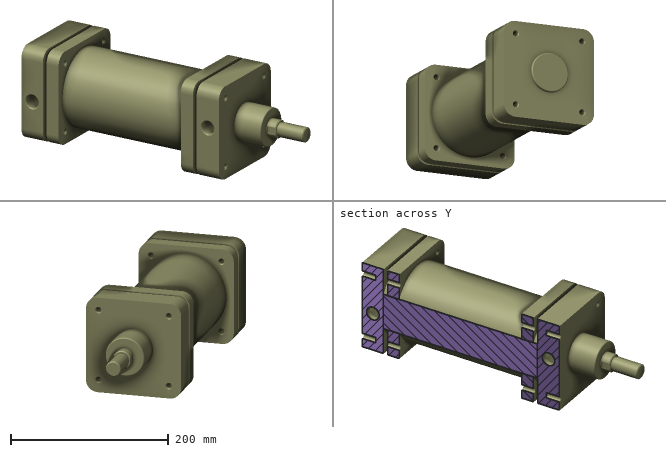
import cadquery as cq


PLATE_SIDE = 126.0
CORNER_RADIUS = 15.2
REAR_CAP_LENGTH = 32.0
FRONT_CAP_LENGTH = 33.2
FLANGE_LENGTH = 18.0
FLANGE_GAP = 5.5

TUBE_DIAMETER = 106.7
TUBE_LENGTH = 229.0
NOSE_DIAMETER = 51.2
NOSE_ROUNDING = 1.5
PLUG_LENGTH = 4.0
NOSE_LENGTH = 39.5

SCREW_SPACING = 93.0
SCREW_DIAMETER = 7.0
SCREW_CHAMFER = 0.8
SCREW_DEPTH = 19.5

PORT_DIAMETER = 18.0
PORT_CHAMFER = 1.0
PORT_DEPTH = 23.5
PORT_OFFSET = 8.2

OVERALL_LENGTH = 391.0
ROD_DIAMETER = 24.2
ROD_CHAMFER = 1.0
FLATS_WIDTH = 22.0
FLATS_LENGTH = 13.0
RELIEF_DIAMETER = 18.5
RELIEF_LENGTH = 3.0
THREAD_DIAMETER = 20.0
THREAD_LENGTH = 36.5
THREAD_CHAMFER = 1.0

REAR_CAP_START = PLUG_LENGTH
TUBE_START = REAR_CAP_START + REAR_CAP_LENGTH
TUBE_END = TUBE_START + TUBE_LENGTH
FRONT_CAP_END = TUBE_END + FRONT_CAP_LENGTH
REAR_FLANGE_START = TUBE_START + FLANGE_GAP
FRONT_FLANGE_START = TUBE_END - FLANGE_GAP - FLANGE_LENGTH
THREAD_START = OVERALL_LENGTH - THREAD_LENGTH
ROD_SHOULDER = THREAD_START - RELIEF_LENGTH
FLATS_START = ROD_SHOULDER - FLATS_LENGTH


def cylinder(start, length, diameter):
    """Round bar along the X axis."""
    return cq.Workplane("YZ", origin=(start, 0, 0)).circle(diameter / 2).extrude(length)


def plate(start, length):
    """Square plate with rounded corners, centred on the X axis."""
    blank = cq.Workplane("YZ", origin=(start, 0, 0)).rect(PLATE_SIDE, PLATE_SIDE).extrude(length)
    return blank.edges("|X").fillet(CORNER_RADIUS)


def chamfered_hole(point, direction, diameter, depth, chamfer):
    """Cutter for a hole whose mouth is widened by a 45 degree chamfer."""
    mouth = cq.Vector(*point)
    inward = cq.Vector(*direction)
    bore = cq.Solid.makeCylinder(diameter / 2, depth, mouth, inward)
    bevel = cq.Solid.makeCone(diameter / 2 + chamfer, diameter / 2, chamfer, mouth, inward)
    return cq.Workplane(bore.fuse(bevel))


def cut_screw_holes(body, face_x, inward, depth):
    """Cut the four corner screw holes from the face at face_x; inward is +1 or -1 along X."""
    for y_side in (-1, 1):
        for z_side in (-1, 1):
            mouth = (face_x, y_side * SCREW_SPACING / 2, z_side * SCREW_SPACING / 2)
            hole = chamfered_hole(mouth, (inward, 0, 0), SCREW_DIAMETER, depth, SCREW_CHAMFER)
            body = body.cut(hole)
    return body


def cut_port(body, x, z):
    """Cut a blind air port into the -Y face."""
    mouth = (x, -PLATE_SIDE / 2, z)
    return body.cut(chamfered_hole(mouth, (0, 1, 0), PORT_DIAMETER, PORT_DEPTH, PORT_CHAMFER))


def make_rear_cap():
    """Rear end cap with its short round plug."""
    plug = cylinder(0, PLUG_LENGTH, NOSE_DIAMETER).faces("<X").fillet(NOSE_ROUNDING)
    cap = plate(REAR_CAP_START, REAR_CAP_LENGTH).union(plug)
    cap = cut_screw_holes(cap, REAR_CAP_START, 1, SCREW_DEPTH)
    return cut_port(cap, REAR_CAP_START + REAR_CAP_LENGTH / 2, -PORT_OFFSET)


def make_front_cap():
    """Front end cap with its long nose, bored for the piston rod."""
    nose = cylinder(FRONT_CAP_END, NOSE_LENGTH, NOSE_DIAMETER).faces(">X").fillet(NOSE_ROUNDING)
    cap = plate(TUBE_END, FRONT_CAP_LENGTH).union(nose)
    cap = cap.cut(cylinder(TUBE_END, FRONT_CAP_LENGTH + NOSE_LENGTH, ROD_DIAMETER))
    cap = cut_screw_holes(cap, FRONT_CAP_END, -1, SCREW_DEPTH)
    return cut_port(cap, TUBE_END + FRONT_CAP_LENGTH / 2, PORT_OFFSET)


def make_flange(start, screw_face_x, inward):
    """Mounting flange that fits around the tube."""
    flange = plate(start, FLANGE_LENGTH).cut(cylinder(start, FLANGE_LENGTH, TUBE_DIAMETER))
    return cut_screw_holes(flange, screw_face_x, inward, FLANGE_LENGTH)


def make_rod():
    """Piston rod with two wrench flats, a thread relief and a threaded end."""
    rod = cylinder(TUBE_END, ROD_SHOULDER - TUBE_END, ROD_DIAMETER).faces(">X").chamfer(ROD_CHAMFER)
    slab = cq.Workplane("YZ", origin=(FLATS_START, 0, 0)).rect(FLATS_WIDTH, ROD_DIAMETER).extrude(FLATS_LENGTH)
    flat_waste = cylinder(FLATS_START, FLATS_LENGTH, ROD_DIAMETER).cut(slab)
    relief = cylinder(ROD_SHOULDER, RELIEF_LENGTH, RELIEF_DIAMETER)
    thread = cylinder(THREAD_START, THREAD_LENGTH, THREAD_DIAMETER).faces(">X").chamfer(THREAD_CHAMFER)
    return rod.cut(flat_waste).union(relief).union(thread)


tube = cylinder(TUBE_START, TUBE_LENGTH, TUBE_DIAMETER)
rear_cap = make_rear_cap()
front_cap = make_front_cap()
rod = make_rod()

flange_places = [
    (REAR_FLANGE_START, REAR_FLANGE_START + FLANGE_LENGTH, -1),
    (FRONT_FLANGE_START, FRONT_FLANGE_START, 1),
]
flanges = [make_flange(*place).val() for place in flange_places]

result = cq.Compound.makeCompound([rear_cap.val(), tube.val(), front_cap.val(), rod.val(), *flanges])